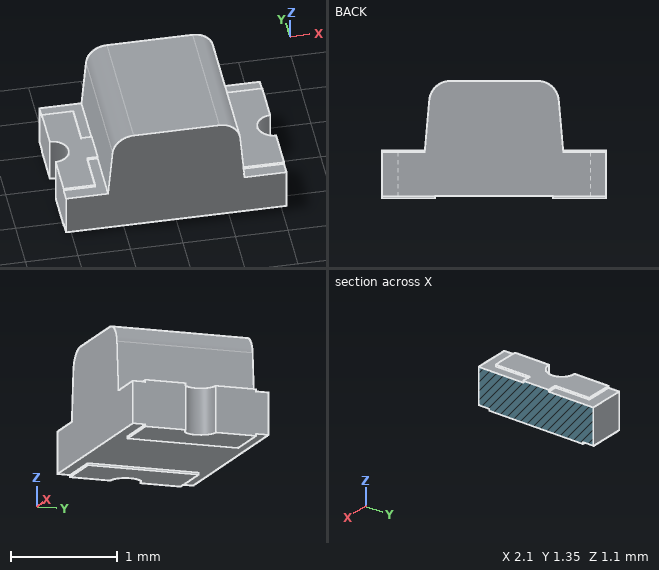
import cadquery as cq
import math

length = 2.1
width = 1.35
total_height = 1.1
plating = 0.02
substrate_bottom = plating
substrate_top = 0.43

pad_width = 1.1
bottom_pad_length = 0.5
hole_radius = 0.15
narrow_pad_length = 0.3
pad_neck_width = 2 * hole_radius

lens_base_length = 1.3
lens_draft_angle = 5.0
lens_fillet = 0.2

lens_height = total_height - substrate_top
lens_top_length = lens_base_length - 2 * lens_height * math.tan(math.radians(lens_draft_angle))
pad_top = substrate_top + plating


def block(x_start, x_end, y_size, z_start, z_end):
    """Box centred on Y between the given X and Z limits."""
    return (
        cq.Workplane("XY")
        .box(x_end - x_start, y_size, z_end - z_start, centered=(False, True, False))
        .translate((x_start, 0, z_start))
    )


def make_end_hole(x_sign):
    """Upright cylinder, as tall as the plated substrate, centred on one end face."""
    return cq.Workplane("XY").center(x_sign * length / 2, 0).circle(hole_radius).extrude(pad_top)


def make_substrate():
    return block(-length / 2, length / 2, width, substrate_bottom, substrate_top)


def make_bottom_pads():
    left = block(-length / 2, -length / 2 + bottom_pad_length, pad_width, 0, substrate_bottom)
    return left.union(left.mirror("YZ"))


def make_top_pads():
    """The -X pad is narrowed to a neck beside the lens; the +X pad is a plain rectangle."""
    lens_edge = lens_base_length / 2
    narrow_end = -length / 2 + narrow_pad_length
    narrow = block(-length / 2, narrow_end, pad_width, substrate_top, pad_top)
    neck = block(narrow_end, -lens_edge, pad_neck_width, substrate_top, pad_top)
    plain = block(lens_edge, length / 2, pad_width, substrate_top, pad_top)
    return narrow.union(neck).union(plain)


def make_lens():
    """Tapered bar across the full width with rounded upper edges."""
    return (
        cq.Workplane("XZ", origin=(0, width / 2, 0))
        .moveTo(-lens_base_length / 2, substrate_top)
        .lineTo(lens_base_length / 2, substrate_top)
        .lineTo(lens_top_length / 2, total_height)
        .lineTo(-lens_top_length / 2, total_height)
        .close()
        .extrude(width)
        .edges("|Y and >Z")
        .fillet(lens_fillet)
    )


result = make_substrate().union(make_bottom_pads()).union(make_top_pads()).union(make_lens())
for end_sign in (-1, 1):
    result = result.cut(make_end_hole(end_sign))